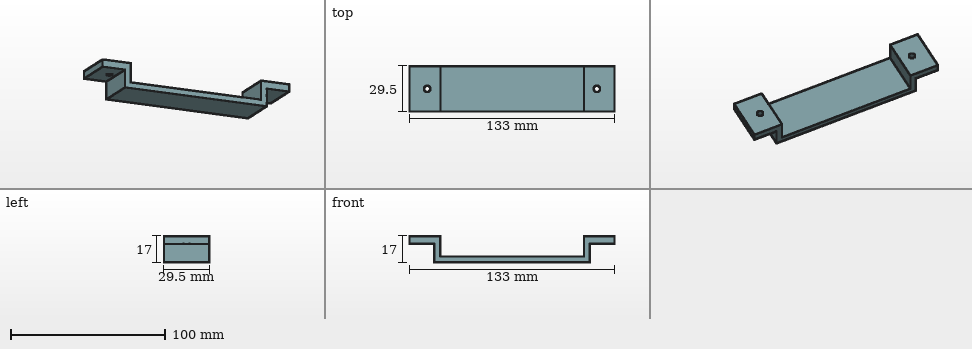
import cadquery as cq

LENGTH = 133.0
WIDTH = 29.5
HEIGHT = 17.0
FLANGE_LENGTH = 20.0
FLANGE_THICKNESS = 5.0
LEG_THICKNESS = 4.0
BASE_THICKNESS = 4.0
HOLE_DIAMETER = 4.0
HOLE_SPACING = 110.0

end_x = LENGTH / 2
inner_x = end_x - FLANGE_LENGTH
outer_x = inner_x + LEG_THICKNESS
flange_underside_z = HEIGHT - FLANGE_THICKNESS


def bent_strip():
    """Hat-shaped profile extruded across the full width."""
    right_half = [
        (outer_x, 0),
        (outer_x, flange_underside_z),
        (end_x, flange_underside_z),
        (end_x, HEIGHT),
        (inner_x, HEIGHT),
        (inner_x, BASE_THICKNESS),
    ]
    left_half = [(-x, z) for x, z in reversed(right_half)]
    profile = cq.Workplane("XZ").polyline(right_half + left_half).close()
    return profile.extrude(WIDTH / 2, both=True)


def flange_holes():
    """Vertical through holes, one in each flange."""
    centres = [(-HOLE_SPACING / 2, 0), (HOLE_SPACING / 2, 0)]
    return cq.Workplane("XY").pushPoints(centres).circle(HOLE_DIAMETER / 2).extrude(HEIGHT)


result = bent_strip().cut(flange_holes())